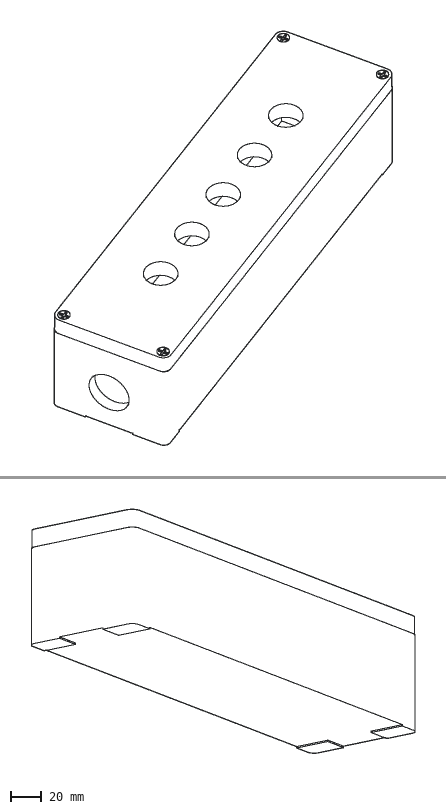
import cadquery as cq

length = 310.0
width = 85.0
height = 77.2
lid_height = 12.0
base_height = height - lid_height

base_corner_radius = 5.0
side_wall = 6.0
end_wall = 8.0
floor = 4.0
foot_height = 1.0
foot_gap_x = 34.7
foot_length = 17.5
cable_hole_diameter = 29.5
cable_hole_height = 29.5

lid_corner_radius = 6.0
button_count = 5
button_pitch = 42.5
button_diameter = 22.3

screw_spacing_x = 73.0
screw_spacing_y = 298.0
screw_head_diameter = 8.0
screw_head_drop = 0.3
cross_slot_length = 6.2
cross_slot_width = 1.2
cross_slot_depth = 0.5


def centred_box(size_x, size_y, size_z, bottom):
    """Plain box centred on the Z axis."""
    return cq.Workplane("XY").workplane(offset=bottom).rect(size_x, size_y).extrude(size_z)


def rounded_block(size_x, size_y, size_z, radius, bottom):
    """Upright block centred on the Z axis, with round vertical edges."""
    return centred_box(size_x, size_y, size_z, bottom).edges("|Z").fillet(radius)


def make_base():
    """Open-topped box on four corner feet, with a cable hole in its -Y wall."""
    base = rounded_block(width, length, base_height, base_corner_radius, 0)

    base = base.cut(centred_box(foot_gap_x, length, foot_height, 0))
    base = base.cut(centred_box(width, length - 2 * foot_length, foot_height, 0))

    cavity_width = width - 2 * side_wall
    cavity_length = length - 2 * end_wall
    cavity_bottom = foot_height + floor
    base = base.cut(centred_box(cavity_width, cavity_length, base_height - cavity_bottom, cavity_bottom))

    cable_hole = (
        cq.Workplane("XZ", origin=(0, -length / 2, cable_hole_height))
        .circle(cable_hole_diameter / 2)
        .extrude(-end_wall)
    )
    return base.cut(cable_hole)


def make_screw_relief():
    """Material removed above one sunk screw head and in its cross slot, below Z = 0."""
    recess = cq.Workplane("XY").circle(screw_head_diameter / 2).extrude(-screw_head_drop)
    slot_bottom = -screw_head_drop - cross_slot_depth
    slot_x = centred_box(cross_slot_length, cross_slot_width, cross_slot_depth, slot_bottom)
    slot_y = centred_box(cross_slot_width, cross_slot_length, cross_slot_depth, slot_bottom)
    return recess.union(slot_x).union(slot_y)


def make_lid():
    """Thick cover with a row of button holes and a screw head in each corner."""
    lid = rounded_block(width, length, lid_height, lid_corner_radius, base_height)

    lid = (
        lid.faces(">Z").workplane(origin=(0, 0, height))
        .rarray(3, button_pitch, 1, button_count)
        .hole(button_diameter)
    )

    screw_relief = make_screw_relief()
    for side_x in (-1, 1):
        for side_y in (-1, 1):
            screw_x = side_x * screw_spacing_x / 2
            screw_y = side_y * screw_spacing_y / 2
            lid = lid.cut(screw_relief.translate((screw_x, screw_y, height)))
    return lid


base = make_base()
lid = make_lid()

result = cq.Compound.makeCompound([base.val(), lid.val()])